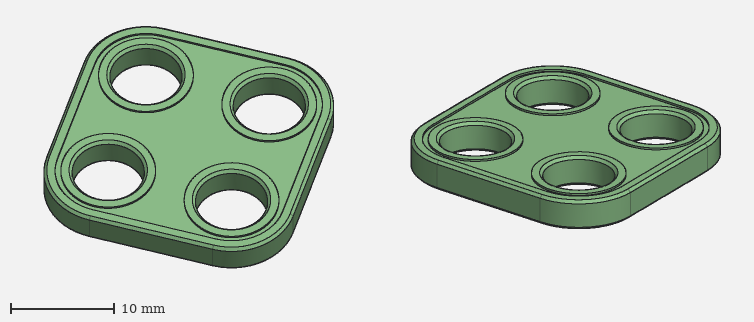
import cadquery as cq

hole_pitch = 12.5
corner_radius = 6.25
side = hole_pitch + 2 * corner_radius
thickness = 3.12

hole_diameter = 7.0
collar_diameter = 9.2

edge_chamfer = 0.3

rim_width = 1.1
recess_depth = 0.2
recess_floor = thickness - recess_depth


def rounded_square(inset, bottom, height):
    """Square block with round corners, its sides set in from the plate's sides."""
    width = side - 2 * inset
    block = cq.Workplane("XY").workplane(offset=bottom).rect(width, width).extrude(height)
    return block.edges("|Z").fillet(corner_radius - inset)


def discs_at_holes(diameter, bottom, height):
    """One disc centred on each of the four hole positions."""
    return (
        cq.Workplane("XY")
        .workplane(offset=bottom)
        .rarray(hole_pitch, hole_pitch, 2, 2)
        .circle(diameter / 2)
        .extrude(height)
    )


def make_drilled_plate():
    """Plate with its through holes, chamfered along every edge of both flat faces."""
    plate = rounded_square(0, 0, thickness)
    plate = plate.cut(discs_at_holes(hole_diameter, 0, thickness))
    return plate.faces("<Z or >Z").edges().chamfer(edge_chamfer)


def make_recess():
    """Shallow pocket that leaves the rim and the four collars standing."""
    pocket = rounded_square(rim_width, recess_floor, recess_depth)
    return pocket.cut(discs_at_holes(collar_diameter, recess_floor, recess_depth))


result = make_drilled_plate().cut(make_recess())